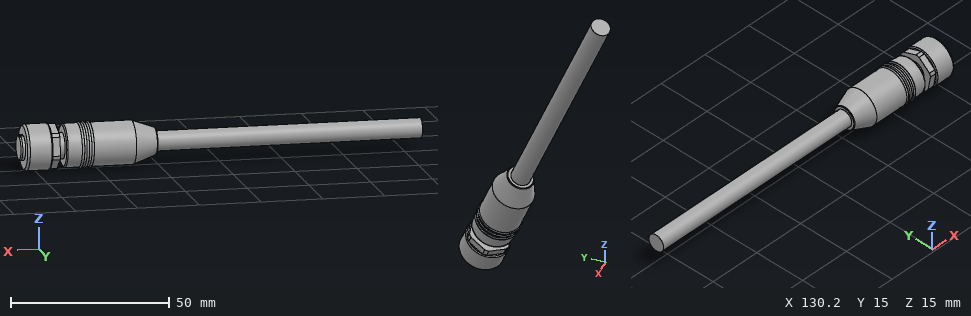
import cadquery as cq

TOTAL_LENGTH = 130.2
CABLE_DIA = 6.5

GRIP_START = 85.9
CONE_DIA = 9.0
CONE_LENGTH = 7.5
CONE_EDGE_CHAMFER = 0.3
GRIP_DIA = 14.2
GRIP_END = 116.0
GRIP_TAPER_LENGTH = 1.7
GRIP_END_DIA = 13.9
GRIP_END_CHAMFER = 0.4

RIB_COUNT = 3
RIB_DIA = 15.0
RIB_RADIUS = (RIB_DIA - GRIP_DIA) / 2
FIRST_RIB_X = 107.5
RIB_PITCH = 1.5

NECK_DIA = 8.5

HEX_START = 118.1
HEX_ACROSS_FLATS = 13.2
HEX_CORNER_DIA = 14.5
HEX_ROLL = 10.4

NUT_START = 120.6
NUT_END = 128.8
NUT_DIA = 15.0
NUT_BACK_CHAMFER = 0.4
NUT_FRONT_CHAMFER = 0.8
NUT_FRONT_CHAMFER_DEPTH = 0.5

TIP_DIA = 8.2
TIP_CHAMFER = 0.5
TIP_CHAMFER_DEPTH = 0.3

KEY_GROOVE_DIA = 1.0
KEY_GROOVE_ROLL = -6


def cylinder(start, end, diameter):
    return cq.Workplane("YZ", origin=(start, 0, 0)).circle(diameter / 2).extrude(end - start)


def make_grip():
    radius = GRIP_DIA / 2
    end_radius = GRIP_END_DIA / 2
    outline = (
        cq.Workplane("XY")
        .moveTo(GRIP_START, 0)
        .lineTo(GRIP_START, CONE_DIA / 2 - CONE_EDGE_CHAMFER)
        .lineTo(GRIP_START + CONE_EDGE_CHAMFER, CONE_DIA / 2)
        .lineTo(GRIP_START + CONE_LENGTH, radius)
    )
    for i in range(RIB_COUNT):
        rib_x = FIRST_RIB_X + i * RIB_PITCH
        outline = outline.lineTo(rib_x - RIB_RADIUS, radius)
        outline = outline.threePointArc((rib_x, RIB_DIA / 2), (rib_x + RIB_RADIUS, radius))
    outline = (
        outline.lineTo(GRIP_END - GRIP_TAPER_LENGTH, radius)
        .lineTo(GRIP_END - GRIP_END_CHAMFER, end_radius)
        .lineTo(GRIP_END, end_radius - GRIP_END_CHAMFER)
        .lineTo(GRIP_END, 0)
        .close()
    )
    return outline.revolve(360, (0, 0, 0), (1, 0, 0))


def make_hexagon():
    hexagon = (
        cq.Workplane("YZ", origin=(HEX_START, 0, 0))
        .polygon(6, HEX_ACROSS_FLATS, circumscribed=True)
        .extrude(NUT_START - HEX_START)
        .rotate((0, 0, 0), (1, 0, 0), HEX_ROLL)
    )
    return hexagon.intersect(cylinder(HEX_START, NUT_START, HEX_CORNER_DIA))


def make_nut():
    nut = cylinder(NUT_START, NUT_END, NUT_DIA)
    nut = nut.faces("<X").chamfer(NUT_BACK_CHAMFER)
    return nut.faces(">X").chamfer(NUT_FRONT_CHAMFER, NUT_FRONT_CHAMFER_DEPTH)


def make_tip():
    tip = cylinder(NUT_END, TOTAL_LENGTH, TIP_DIA)
    tip = tip.faces(">X").chamfer(TIP_CHAMFER, TIP_CHAMFER_DEPTH)
    groove = (
        cylinder(NUT_END, TOTAL_LENGTH, KEY_GROOVE_DIA)
        .translate((0, 0, TIP_DIA / 2))
        .rotate((0, 0, 0), (1, 0, 0), KEY_GROOVE_ROLL)
    )
    return tip.cut(groove)


result = (
    cylinder(0, GRIP_START, CABLE_DIA)
    .union(make_grip())
    .union(cylinder(GRIP_END, HEX_START, NECK_DIA))
    .union(make_hexagon())
    .union(make_nut())
    .union(make_tip())
    .translate((-TOTAL_LENGTH / 2, 0, 0))
)